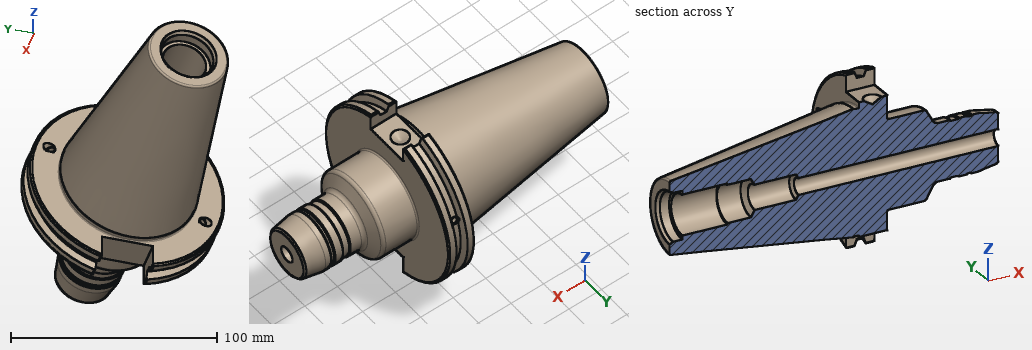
import cadquery as cq
import math

gauge_x = 101.6
flange_start_x = gauge_x + 3.18
flange_end_x = gauge_x + 19.05
overall_length = 182.1

gauge_diameter = 69.85
taper_ratio = 7 / 24
small_end_diameter = gauge_diameter - taper_ratio * gauge_x
small_end_fillet = 1.0
relief_diameter = 69.25
relief_start_x = gauge_x + 1.1
root_fillet = 0.4

flange_diameter = 98.43
flange_edge_chamfer_axial = 0.7
flange_edge_chamfer_radial = 1.0
groove_center_x = 112.7
groove_floor_diameter = 91.4
groove_floor_width = 3.7
groove_wall_angle = 24.0

slot_width = 25.7
slot_edge_chamfer = 0.6
upper_slot_floor_z = 37.7
lower_slot_floor_z = 35.5
cross_hole_x = 112.45
dimple_diameter = 9.53
drill_point_angle = 118.0

hub_diameter = 49.5
hub_fillet = 0.8
nose_diameter = 32.0
shoulder_angle = 60.0
hub_edge_radius = 2.5
nose_root_radius = 3.0
hub_edge_start_x = 140.5
nose_groove_diameter = 31.0
nose_groove_wall_angle = 45.0
nose_grooves = ((155.3, 160.1), (164.7, 167.3))
nose_taper_start_x = 170.7
nose_taper_angle = 10.0
nose_end_chamfer = 1.0

mouth_diameter = 28.4
mouth_angle = 60.0
counterbore_diameter = 26.2
counterbore_depth = 7.0
thread_diameter = 21.97
thread_depth = 32.0
pilot_diameter = 20.5
pilot_depth = 45.0
step_diameter = 13.5
step_depth = 70.0
through_diameter = 8.92

coolant_angle = 19.7
coolant_mouth_radius = 42.0
coolant_tilt = 36.0
coolant_mouth_diameter = 5.0
coolant_mouth_depth = 2.0
coolant_diameter = 4.2
coolant_depth = 12.0
plug_countersink_diameter = 4.13
plug_countersink_angle = 90.0
plug_hole_diameter = 3.24
plug_hole_depth = 6.5

cutter_clearance = 1.0


def tan_deg(angle):
    return math.tan(math.radians(angle))


def cone_length(large_diameter, small_diameter, included_angle):
    return (large_diameter - small_diameter) / 2 / tan_deg(included_angle / 2)


def polar_point(center_x, center_y, radius, angle):
    return center_x + radius * math.cos(angle), center_y + radius * math.sin(angle)


def arc_run(radius, angle):
    """Axial length and radial change of an arc that turns from the axis by angle."""
    turn = math.radians(angle)
    return radius * math.sin(turn), radius * (1 - math.cos(turn))


def make_body():
    """Revolve the outer profile: taper, flange, hub and nose."""
    small_radius = small_end_diameter / 2
    relief_radius = relief_diameter / 2
    flange_radius = flange_diameter / 2
    hub_radius = hub_diameter / 2
    nose_radius = nose_diameter / 2
    half_turn = shoulder_angle / 2

    taper_angle = math.atan(taper_ratio / 2)
    edge_center_radius = (
        small_radius
        + small_end_fillet * math.tan(taper_angle)
        - small_end_fillet / math.cos(taper_angle)
    )
    edge_end = polar_point(small_end_fillet, edge_center_radius, small_end_fillet, math.pi / 2 + taper_angle)
    edge_middle = polar_point(
        small_end_fillet, edge_center_radius, small_end_fillet, (3 * math.pi / 2 + taper_angle) / 2
    )

    hub_run, hub_drop = arc_run(hub_edge_radius, shoulder_angle)
    hub_mid_run, hub_mid_drop = arc_run(hub_edge_radius, half_turn)
    nose_run, nose_rise = arc_run(nose_root_radius, shoulder_angle)
    nose_mid_run, nose_mid_rise = arc_run(nose_root_radius, half_turn)
    cone_start_x = hub_edge_start_x + hub_run
    cone_drop = hub_radius - hub_drop - nose_radius - nose_rise
    cone_end_x = cone_start_x + cone_drop / tan_deg(shoulder_angle)
    nose_start_x = cone_end_x + nose_run

    chamfer_x = overall_length - nose_end_chamfer
    nose_tip_radius = nose_radius - (chamfer_x - nose_taper_start_x) * tan_deg(nose_taper_angle)
    root_mid = root_fillet * (1 - math.sqrt(0.5))
    hub_mid = hub_fillet * (1 - math.sqrt(0.5))

    profile = (
        cq.Workplane("XY")
        .moveTo(0, 0)
        .lineTo(0, edge_center_radius)
        .threePointArc(edge_middle, edge_end)
        .lineTo(gauge_x, gauge_diameter / 2)
        .lineTo(relief_start_x, relief_radius)
        .lineTo(flange_start_x - root_fillet, relief_radius)
        .threePointArc(
            (flange_start_x - root_mid, relief_radius + root_mid),
            (flange_start_x, relief_radius + root_fillet),
        )
        .lineTo(flange_start_x, flange_radius - flange_edge_chamfer_radial)
        .lineTo(flange_start_x + flange_edge_chamfer_axial, flange_radius)
        .lineTo(flange_end_x - flange_edge_chamfer_axial, flange_radius)
        .lineTo(flange_end_x, flange_radius - flange_edge_chamfer_radial)
        .lineTo(flange_end_x, hub_radius + hub_fillet)
        .threePointArc(
            (flange_end_x + hub_mid, hub_radius + hub_mid),
            (flange_end_x + hub_fillet, hub_radius),
        )
        .lineTo(hub_edge_start_x, hub_radius)
        .threePointArc(
            (hub_edge_start_x + hub_mid_run, hub_radius - hub_mid_drop),
            (cone_start_x, hub_radius - hub_drop),
        )
        .lineTo(cone_end_x, nose_radius + nose_rise)
        .threePointArc(
            (nose_start_x - nose_mid_run, nose_radius + nose_mid_rise),
            (nose_start_x, nose_radius),
        )
        .lineTo(nose_taper_start_x, nose_radius)
        .lineTo(chamfer_x, nose_tip_radius)
        .lineTo(overall_length, nose_tip_radius - nose_end_chamfer)
        .lineTo(overall_length, 0)
        .close()
    )
    return profile.revolve(360, (0, 0, 0), (1, 0, 0))


def ring_groove(floor_start_x, floor_end_x, floor_diameter, rim_diameter, wall_angle):
    """Ring cutter whose walls lean outward by wall_angle from the radial direction."""
    floor_radius = floor_diameter / 2
    top_radius = rim_diameter / 2 + cutter_clearance
    spread = (top_radius - floor_radius) * tan_deg(wall_angle)
    return (
        cq.Workplane("XY")
        .moveTo(floor_start_x, floor_radius)
        .lineTo(floor_end_x, floor_radius)
        .lineTo(floor_end_x + spread, top_radius)
        .lineTo(floor_start_x - spread, top_radius)
        .close()
        .revolve(360, (0, 0, 0), (1, 0, 0))
    )


def cut_grooves(body):
    half_floor = groove_floor_width / 2
    body = body.cut(
        ring_groove(
            groove_center_x - half_floor,
            groove_center_x + half_floor,
            groove_floor_diameter,
            flange_diameter,
            groove_wall_angle,
        )
    )
    wall_run = (nose_diameter - nose_groove_diameter) / 2 * tan_deg(nose_groove_wall_angle)
    for start_x, end_x in nose_grooves:
        body = body.cut(
            ring_groove(
                start_x + wall_run,
                end_x - wall_run,
                nose_groove_diameter,
                nose_diameter,
                nose_groove_wall_angle,
            )
        )
    return body


def slot_cutter(floor_z):
    """Slot open toward +Z, flaring at 45 degrees where it meets the flange rim."""
    half_width = slot_width / 2
    flare_half_width = half_width + slot_edge_chamfer
    rim_z = math.sqrt((flange_diameter / 2) ** 2 - flare_half_width**2)
    top_z = flange_diameter / 2 + cutter_clearance
    top_half_width = flare_half_width + top_z - rim_z
    return (
        cq.Workplane("YZ", origin=(flange_start_x, 0, 0))
        .moveTo(-half_width, floor_z)
        .lineTo(half_width, floor_z)
        .lineTo(half_width, rim_z - slot_edge_chamfer)
        .lineTo(top_half_width, top_z)
        .lineTo(-top_half_width, top_z)
        .lineTo(-half_width, rim_z - slot_edge_chamfer)
        .close()
        .extrude(flange_end_x - flange_start_x)
    )


def cut_drive_slots(body):
    lower_slot = slot_cutter(lower_slot_floor_z).rotate((0, 0, 0), (1, 0, 0), 180)
    return body.cut(slot_cutter(upper_slot_floor_z)).cut(lower_slot)


def cut_dimple(body):
    """Conical dimple in the floor of the upper slot."""
    depth = cone_length(dimple_diameter, 0, drill_point_angle)
    floor_center = cq.Vector(cross_hole_x, 0, upper_slot_floor_z)
    dimple = cq.Solid.makeCone(dimple_diameter / 2, 0, depth, floor_center, cq.Vector(0, 0, -1))
    return body.cut(cq.Workplane(dimple))


def cut_bore(body):
    """Stepped bore narrowing to the through hole, with drill-point cones under the last two steps."""
    mouth_depth = cone_length(mouth_diameter, counterbore_diameter, mouth_angle)
    pilot_cone = cone_length(pilot_diameter, step_diameter, drill_point_angle)
    step_cone = cone_length(step_diameter, through_diameter, drill_point_angle)
    cutter = (
        cq.Workplane("XY")
        .moveTo(0, 0)
        .lineTo(0, mouth_diameter / 2)
        .lineTo(mouth_depth, counterbore_diameter / 2)
        .lineTo(counterbore_depth, counterbore_diameter / 2)
        .lineTo(counterbore_depth, thread_diameter / 2)
        .lineTo(thread_depth, thread_diameter / 2)
        .lineTo(thread_depth, pilot_diameter / 2)
        .lineTo(pilot_depth, pilot_diameter / 2)
        .lineTo(pilot_depth + pilot_cone, step_diameter / 2)
        .lineTo(step_depth, step_diameter / 2)
        .lineTo(step_depth + step_cone, through_diameter / 2)
        .lineTo(overall_length, through_diameter / 2)
        .lineTo(overall_length, 0)
        .close()
        .revolve(360, (0, 0, 0), (1, 0, 0))
    )
    return body.cut(cutter)


def cylinder(start, direction, diameter, length):
    return cq.Workplane(cq.Solid.makeCylinder(diameter / 2, length, start, direction))


def coolant_cutter():
    """Stepped hole slanting inward from the flange face on the -Y side."""
    tilt = math.radians(coolant_tilt)
    inward = cq.Vector(math.cos(tilt), math.sin(tilt), 0)
    mouth = cq.Vector(flange_start_x, -coolant_mouth_radius, 0)
    overshoot = coolant_mouth_diameter
    entry = cylinder(
        mouth - inward * overshoot, inward, coolant_mouth_diameter, overshoot + coolant_mouth_depth
    )
    return entry.union(cylinder(mouth, inward, coolant_diameter, coolant_depth))


def plug_cutter():
    """Countersunk radial hole in the groove floor on the -Y side, reaching the coolant hole."""
    inward = cq.Vector(0, 1, 0)
    floor = cq.Vector(cross_hole_x, -groove_floor_diameter / 2, 0)
    rim = cq.Vector(cross_hole_x, -flange_diameter / 2, 0)
    sink_depth = cone_length(plug_countersink_diameter, plug_hole_diameter, plug_countersink_angle)
    countersink = cq.Solid.makeCone(
        plug_countersink_diameter / 2, plug_hole_diameter / 2, sink_depth, floor, inward
    )
    clearance = cylinder(rim, inward, plug_countersink_diameter, (floor - rim).Length)
    hole = cylinder(floor, inward, plug_hole_diameter, plug_hole_depth)
    return clearance.union(cq.Workplane(countersink)).union(hole)


def cut_coolant_holes(body):
    """Two opposite coolant holes, each with its plug hole."""
    cutter = coolant_cutter().union(plug_cutter())
    for angle in (coolant_angle, coolant_angle + 180):
        body = body.cut(cutter.rotate((0, 0, 0), (1, 0, 0), angle))
    return body


body = make_body()
body = cut_grooves(body)
body = cut_drive_slots(body)
body = cut_dimple(body)
body = cut_bore(body)
result = cut_coolant_holes(body)